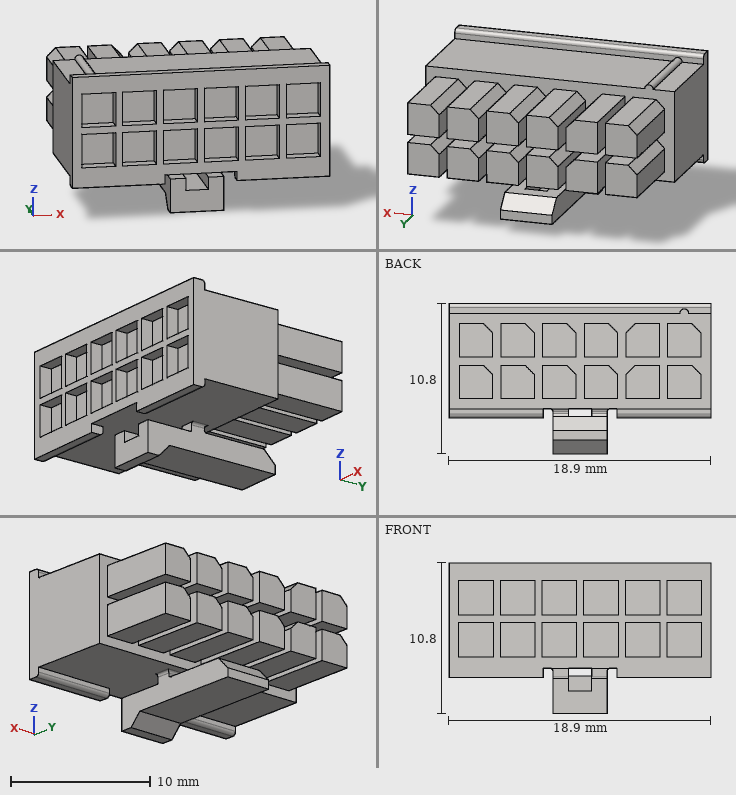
import cadquery as cq


width = 18.85
flange_thickness = 1.02
flange_height = 8.25
flange_round = 0.3
body_back = 7.65
body_bottom = 0.68
flange_step_above_body = 0.72
body_top = flange_height - flange_step_above_body
notch_width = 5.28

columns = 6
rows = 2
pitch = 3.0
pocket_size = 2.49
pocket_depth = 1.0
pocket_mid_height = 4.25

pole_size = 2.4
pole_chamfer = 0.66
pole_tip = 14.0
pole_mid_height = 4.1
right_chamfer_columns = (1,)

rib_radius = 0.32
rib_x = -(columns - 1) / 2 * pitch

latch_width = 3.92
latch_front = 1.56
latch_back = 13.12
latch_rear_top = 0.13
latch_front_top = -0.05
latch_bottom = -1.58
hook_bottom = -2.58
hook_tip_length = 1.02
hook_slope = 0.96
thumb_chamfer = 1.02
neck_front = 5.5
neck_back = 6.7
neck_round = 0.2
neck_front_round = 0.1
slot_width = 1.65
slot_floor = -0.96
slot_back = 10.88


def box(x_range, y_range, z_range):
    """Axis-aligned box between pairs of X, Y and Z limits."""
    (x0, x1), (y0, y1), (z0, z1) = x_range, y_range, z_range
    return cq.Workplane("XY").box(x1 - x0, y1 - y0, z1 - z0, centered=False).translate((x0, y0, z0))


def centred_box(total_width, y_range, z_range):
    """Box that is symmetric about the YZ plane."""
    return box((-total_width / 2, total_width / 2), y_range, z_range)


def round_corners(solid, edge_midpoints, radius):
    """Fillet the edges whose midpoints are given."""
    edges = solid.newObject([])
    for point in edge_midpoints:
        edges = edges.add(solid.edges(cq.NearestToPointSelector(point)))
    return edges.fillet(radius)


def grid(mid_height):
    """Column index, X and Z of every contact position."""
    return [
        (column, (column - (columns - 1) / 2) * pitch, mid_height + (row - (rows - 1) / 2) * pitch)
        for column in range(columns)
        for row in range(rows)
    ]


def make_body():
    """Body block behind a taller front flange that is notched above the latch."""
    flange = centred_box(width, (0, flange_thickness), (0, flange_height))
    flange = flange.edges("|X and >Y").fillet(flange_round)
    notch = centred_box(notch_width, (0, flange_thickness), (0, body_bottom))
    body = centred_box(width, (0, body_back), (body_bottom, body_top))
    return flange.cut(notch).union(body)


def make_pockets():
    """Square contact openings in the mating face."""
    pockets = cq.Workplane("XY")
    half = pocket_size / 2
    for _, x, z in grid(pocket_mid_height):
        pockets = pockets.union(box((x - half, x + half), (0, pocket_depth), (z - half, z + half)))
    return pockets


def make_poles():
    """Square poles behind the body, each with one chamfered top corner."""
    poles = cq.Workplane("XY")
    half = pole_size / 2
    for column, x, z in grid(pole_mid_height):
        pole = box((x - half, x + half), (body_back, pole_tip), (z - half, z + half))
        side = ">X" if column in right_chamfer_columns else "<X"
        poles = poles.union(pole.faces(">Z").edges(side).chamfer(pole_chamfer))
    return poles


def make_rib():
    """Half-round rib running the full length of the body."""
    return (
        cq.Workplane("XZ", origin=(rib_x, 0, body_top))
        .moveTo(-rib_radius, 0)
        .threePointArc((0, rib_radius), (rib_radius, 0))
        .close()
        .extrude(-body_back)
    )


def make_lever():
    """Latch lever: side profile in the YZ plane, extruded across X."""
    hook_back = latch_front + hook_tip_length
    return (
        cq.Workplane("YZ", origin=(-latch_width / 2, 0, 0))
        .polyline(
            [
                (latch_front, hook_bottom),
                (hook_back, hook_bottom),
                (hook_back + hook_slope, latch_bottom),
                (latch_back, latch_bottom),
                (latch_back, latch_rear_top - thumb_chamfer),
                (latch_back - thumb_chamfer, latch_rear_top),
                (neck_front, latch_rear_top),
                (neck_front, latch_front_top),
                (latch_front, latch_front_top),
            ]
        )
        .close()
        .extrude(latch_width)
    )


def make_slot():
    """Open slot along the lever that also splits the neck in two."""
    return centred_box(slot_width, (latch_front, slot_back), (slot_floor, body_bottom))


def add_latch(body):
    """Join lever and neck to the body, round the neck's inner corners, then cut the slot."""
    neck = centred_box(latch_width, (neck_front, neck_back), (latch_front_top, body_bottom))
    joined = body.union(make_lever()).union(neck)
    neck_mid = (neck_front + neck_back) / 2
    rear_and_side_corners = [
        (-latch_width / 2, neck_mid, body_bottom),
        (latch_width / 2, neck_mid, body_bottom),
        (0, neck_back, body_bottom),
        (0, neck_back, latch_rear_top),
    ]
    joined = round_corners(joined, rear_and_side_corners, neck_round)
    joined = round_corners(joined, [(0, neck_front, latch_front_top)], neck_front_round)
    return joined.cut(make_slot())


result = make_body().cut(make_pockets()).union(make_poles()).union(make_rib())
result = add_latch(result)